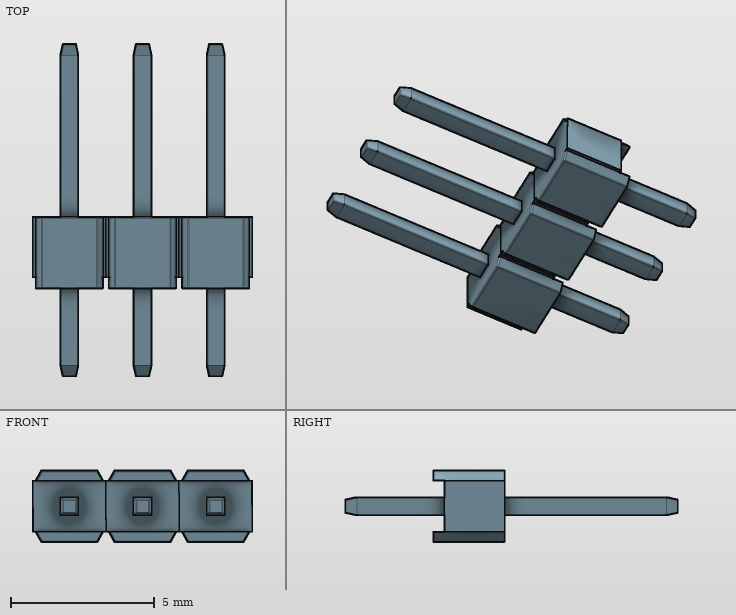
import cadquery as cq

position_count = 3
pitch = 2.54

pin_width = 0.64
pin_tip_width = 0.46
pin_taper_length = 0.39
pin_rear_tail = 6.01
pin_front_tail = 3.05
pin_edge_radius = 0.03

housing_height = 2.5
block_height = 1.78
block_depth = 2.1
block_lean = 0.01
cap_depth = 2.5
cap_base_width = 2.35
cap_crown_width = 1.94
cap_edge_radius = 0.05

shank_rear = pin_rear_tail - pin_taper_length
shank_front = -cap_depth - pin_front_tail + pin_taper_length
shank_length = shank_rear - shank_front


def make_taper(start_y, direction):
    """Short pyramid that narrows from start_y along +Y (direction 1) or -Y (direction -1)."""
    base = cq.Plane(origin=(0, start_y, 0), xDir=(1, 0, 0), normal=(0, direction, 0))
    return (
        cq.Workplane(base)
        .rect(pin_width, pin_width)
        .workplane(offset=pin_taper_length)
        .rect(pin_tip_width, pin_tip_width)
        .loft(ruled=True)
    )


def make_pin(x):
    """Square pin with tapered ends, rounded along its length and around both tips."""
    shank = cq.Workplane("XZ", origin=(0, shank_rear, 0)).rect(pin_width, pin_width).extrude(shank_length)
    pin = shank.union(make_taper(shank_front, -1)).union(make_taper(shank_rear, 1))
    pin = pin.edges("(not #Y) or <Y or >Y").fillet(pin_edge_radius)
    return pin.translate((x, 0, 0))


def make_block():
    """Block one pitch wide whose parallel sides lean slightly towards -X at the top."""
    half_width = pitch / 2
    half_height = block_height / 2
    half_lean = block_lean / 2
    return (
        cq.Workplane("XZ")
        .polyline([
            (-half_width + half_lean, -half_height),
            (half_width + half_lean, -half_height),
            (half_width - half_lean, half_height),
            (-half_width - half_lean, half_height),
        ])
        .close()
        .extrude(block_depth)
    )


def make_cap():
    """Trapezoidal top cap, overhanging the block at the front, rounded except at its base."""
    cap = (
        cq.Workplane("XZ")
        .polyline([
            (-cap_base_width / 2, block_height / 2),
            (cap_base_width / 2, block_height / 2),
            (cap_crown_width / 2, housing_height / 2),
            (-cap_crown_width / 2, housing_height / 2),
        ])
        .close()
        .extrude(cap_depth)
    )
    return cap.edges("not(<Z)").fillet(cap_edge_radius)


def make_housing(x):
    """Block with a cap above and below, bored to fit the pin that passes through it."""
    top_cap = make_cap()
    bottom_cap = top_cap.mirror("XY")
    housing = make_block().union(top_cap).union(bottom_cap)
    return housing.translate((x, 0, 0)).cut(make_pin(x))


positions = [(index - (position_count - 1) / 2) * pitch for index in range(position_count)]
pins = [make_pin(x).val() for x in positions]
housings = [make_housing(x).val() for x in positions]
result = cq.Compound.makeCompound(pins + housings)